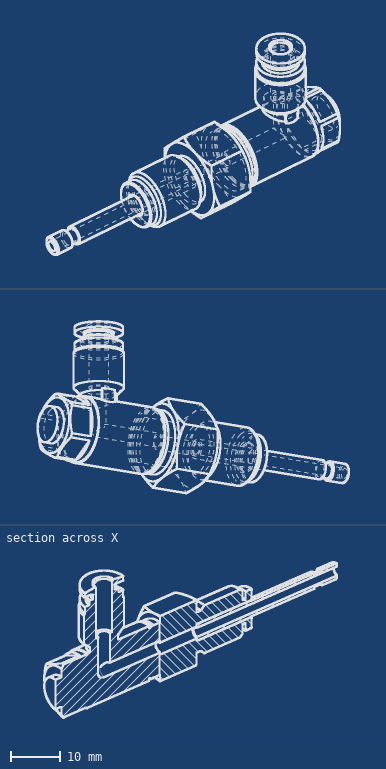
import cadquery as cq
import math


OVERALL_LENGTH = 71.9
HEX_HALF_ANGLE = 30

BACK_END = 12.45
CAP_BACK = 10.85
CAP_FRONT = 5.8
BARREL_BACK = 4.4
BARREL_FRONT = -11.5
RING_BACK = -11.85
RING_FRONT = -12.6
NUT_BACK = -14.25
NUT_FRONT = -23.65
SLEEVE_NECK_FRONT = -24.65
SLEEVE_FRONT = -35.4
COLLAR_BACK = -36.1
COLLAR_FRONT = -37.75
STEM_GROOVE_BACK = -53.7
STEM_GROOVE_FRONT = -55.4
FRONT_END = BACK_END - OVERALL_LENGTH

BARREL_RADIUS = 6.9
SHOULDER_RADIUS = 6.7
SPIGOT_RADIUS = 6.6
BARREL_GROOVE_RADIUS = 6.3
STUB_RADIUS = 3.75
CAP_ACROSS_FLATS = 12.0
CAP_END_RADIUS = 5.75
CAP_BEVEL = 0.5

NUT_CORNER_DIAMETER = 18.5
NUT_ACROSS_FLATS = NUT_CORNER_DIAMETER * math.cos(math.radians(HEX_HALF_ANGLE))
NUT_TURN = 12.4
NUT_BEVEL_ANGLE = 30
SLEEVE_RADIUS = 6.05
SLEEVE_NECK_RADIUS = 5.1
SLEEVE_BEVEL = 0.65
COLLAR_NECK_RADIUS = 2.95
COLLAR_NECK_FLARE = 0.3

COLLAR_RADIUS = 4.95
COLLAR_EDGE = 0.2
TUBE_RADIUS = 2.0
SOCKET_BEVEL = 0.35
PASSAGE_RADIUS = 1.45

STEM_SEAT = NUT_FRONT
STEM_GROOVE_RADIUS = 1.6
STEM_BORE_RADIUS = 1.1
STEM_END_BEVEL = 0.2

PORT_TOP = 22.5
PORT_COLLAR_RIM = 22.15
PORT_COLLAR_BOTTOM = 21.0
PORT_RING_TOP = 19.8
PORT_CAP_TOP = 18.7
PORT_CAP_BOTTOM = 17.05
PORT_BODY_TOP = 16.7
PORT_BODY_BOTTOM = 9.5
PORT_SOCKET_FLOOR = PORT_BODY_BOTTOM
PORT_BODY_RADIUS = 5.2
PORT_RING_RADIUS = 3.8
PORT_RING_BEVEL = 0.2
PORT_COLLAR_NECK_RADIUS = 2.8
PORT_COLLAR_NECK_FLARE = 0.3
PORT_NECK_RADIUS = 3.7
TAB_RADIUS = 4.0
TAB_WIDTH = 3.0
TAB_TOP = 8.55
ELBOW_HEIGHT = 0.5


def turned_about_y(outline):
    """Solid of revolution about Y from (radius, y) points."""
    return cq.Workplane("XY").polyline(outline).close().revolve(360, (0, 0), (0, 1))


def turned_about_z(outline):
    """Solid of revolution about Z from (radius, z) points."""
    return cq.Workplane("XZ").polyline(outline).close().revolve(360, (0, 0), (0, 1))


def rod_along_y(radius, back, front, height=0):
    """Cylinder parallel to Y, running from back towards -Y to front."""
    return cq.Workplane("XZ", origin=(0, back, height)).circle(radius).extrude(back - front)


def rod_along_z(radius, bottom, top):
    return cq.Workplane("XY", origin=(0, 0, bottom)).circle(radius).extrude(top - bottom)


def hex_along_y(across_flats, back, front, turn):
    """Hexagonal prism along Y; turn is the angle in degrees of one corner below +X."""
    corner_diameter = across_flats / math.cos(math.radians(HEX_HALF_ANGLE))
    prism = cq.Workplane("XZ", origin=(0, back, 0)).polygon(6, corner_diameter).extrude(back - front)
    return prism.rotate((0, 0, 0), (0, 1, 0), turn)


def hex_cap():
    """Hexagonal back cap with its corners turned round and its back edge beveled."""
    prism = hex_along_y(CAP_ACROSS_FLATS, CAP_BACK, CAP_FRONT, HEX_HALF_ANGLE)
    envelope = turned_about_y([
        (0, CAP_BACK),
        (CAP_END_RADIUS, CAP_BACK),
        (SHOULDER_RADIUS, CAP_BACK - CAP_BEVEL),
        (SHOULDER_RADIUS, CAP_FRONT),
        (0, CAP_FRONT),
    ])
    return prism.intersect(envelope)


def barrel():
    turned = turned_about_y([
        (0, CAP_FRONT),
        (SHOULDER_RADIUS, CAP_FRONT),
        (SHOULDER_RADIUS, BARREL_BACK),
        (BARREL_RADIUS, BARREL_BACK),
        (BARREL_RADIUS, BARREL_FRONT),
        (BARREL_GROOVE_RADIUS, BARREL_FRONT),
        (BARREL_GROOVE_RADIUS, RING_BACK),
        (SHOULDER_RADIUS, RING_BACK),
        (SHOULDER_RADIUS, RING_FRONT),
        (SPIGOT_RADIUS, RING_FRONT),
        (SPIGOT_RADIUS, NUT_BACK),
        (0, NUT_BACK),
    ])
    stub = rod_along_y(STUB_RADIUS, BACK_END, CAP_BACK)
    return turned.union(hex_cap()).union(stub)


def port():
    """Upright tube port with its release collar, rising from the barrel axis."""
    flare_bottom = PORT_COLLAR_BOTTOM - PORT_COLLAR_NECK_FLARE
    cone_bottom = PORT_BODY_BOTTOM - (PORT_BODY_RADIUS - PORT_NECK_RADIUS)
    return turned_about_z([
        (0, ELBOW_HEIGHT),
        (PORT_NECK_RADIUS, ELBOW_HEIGHT),
        (PORT_NECK_RADIUS, cone_bottom),
        (PORT_BODY_RADIUS, PORT_BODY_BOTTOM),
        (PORT_BODY_RADIUS, PORT_BODY_TOP),
        (COLLAR_RADIUS, PORT_CAP_BOTTOM),
        (COLLAR_RADIUS, PORT_CAP_TOP),
        (PORT_RING_RADIUS, PORT_CAP_TOP),
        (PORT_RING_RADIUS, PORT_RING_TOP - PORT_RING_BEVEL),
        (PORT_RING_RADIUS - PORT_RING_BEVEL, PORT_RING_TOP),
        (PORT_COLLAR_NECK_RADIUS, PORT_RING_TOP),
        (PORT_COLLAR_NECK_RADIUS, flare_bottom),
        (PORT_COLLAR_NECK_RADIUS + PORT_COLLAR_NECK_FLARE, PORT_COLLAR_BOTTOM),
        (COLLAR_RADIUS, PORT_COLLAR_BOTTOM),
        (COLLAR_RADIUS, PORT_COLLAR_RIM),
        (TUBE_RADIUS + SOCKET_BEVEL, PORT_TOP),
        (0, PORT_TOP),
    ])


def port_tabs():
    """Round-faced tabs on the -X and +X sides of the port neck."""
    slab = cq.Workplane("XY").box(2 * TAB_RADIUS, TAB_WIDTH, TAB_TOP, centered=(True, True, False))
    return rod_along_z(TAB_RADIUS, 0, TAB_TOP).intersect(slab)


def port_socket():
    """Beveled tube socket, stepping down to the passage in its floor."""
    return turned_about_z([
        (0, PORT_TOP),
        (TUBE_RADIUS + SOCKET_BEVEL, PORT_TOP),
        (TUBE_RADIUS, PORT_TOP - SOCKET_BEVEL),
        (TUBE_RADIUS, PORT_SOCKET_FLOOR),
        (0, PORT_SOCKET_FLOOR),
    ])


def elbow_passage():
    """Passage down the port, round a ball-shaped corner and out through the barrel front."""
    down = rod_along_z(PASSAGE_RADIUS, ELBOW_HEIGHT, PORT_SOCKET_FLOOR)
    corner = cq.Workplane("XY", origin=(0, 0, ELBOW_HEIGHT)).sphere(PASSAGE_RADIUS)
    forward = rod_along_y(PASSAGE_RADIUS, 0, NUT_BACK, ELBOW_HEIGHT)
    return down.union(corner).union(forward)


def make_housing():
    solid = barrel().union(port()).union(port_tabs())
    return solid.cut(port_socket()).cut(elbow_passage())


def nut_hex():
    """Hexagon with its corners beveled at both ends."""
    face_radius = NUT_ACROSS_FLATS / 2
    corner_radius = NUT_CORNER_DIAMETER / 2
    bevel = (corner_radius - face_radius) * math.tan(math.radians(NUT_BEVEL_ANGLE))
    envelope = turned_about_y([
        (0, NUT_BACK),
        (face_radius, NUT_BACK),
        (corner_radius, NUT_BACK - bevel),
        (corner_radius, NUT_FRONT + bevel),
        (face_radius, NUT_FRONT),
        (0, NUT_FRONT),
    ])
    return hex_along_y(NUT_ACROSS_FLATS, NUT_BACK, NUT_FRONT, NUT_TURN).intersect(envelope)


def nut_sleeve():
    """Round front of the nut with the release collar at its end."""
    cone_front = SLEEVE_NECK_FRONT - (SLEEVE_RADIUS - SLEEVE_NECK_RADIUS)
    return turned_about_y([
        (0, NUT_FRONT),
        (SLEEVE_NECK_RADIUS, NUT_FRONT),
        (SLEEVE_NECK_RADIUS, SLEEVE_NECK_FRONT),
        (SLEEVE_RADIUS, cone_front),
        (SLEEVE_RADIUS, SLEEVE_FRONT + SLEEVE_BEVEL),
        (SLEEVE_RADIUS - SLEEVE_BEVEL, SLEEVE_FRONT),
        (COLLAR_NECK_RADIUS + COLLAR_NECK_FLARE, SLEEVE_FRONT),
        (COLLAR_NECK_RADIUS, SLEEVE_FRONT - COLLAR_NECK_FLARE),
        (COLLAR_NECK_RADIUS, COLLAR_BACK),
        (COLLAR_RADIUS, COLLAR_BACK),
        (COLLAR_RADIUS, COLLAR_FRONT + COLLAR_EDGE),
        (COLLAR_RADIUS - COLLAR_EDGE, COLLAR_FRONT),
        (0, COLLAR_FRONT),
    ])


def nut_bore():
    """Passage from the back of the nut, opening into the beveled socket that holds the stem."""
    return turned_about_y([
        (0, NUT_BACK),
        (PASSAGE_RADIUS, NUT_BACK),
        (PASSAGE_RADIUS, STEM_SEAT),
        (TUBE_RADIUS, STEM_SEAT),
        (TUBE_RADIUS, COLLAR_FRONT + SOCKET_BEVEL),
        (TUBE_RADIUS + SOCKET_BEVEL, COLLAR_FRONT),
        (0, COLLAR_FRONT),
    ])


def make_nut():
    return nut_hex().union(nut_sleeve()).cut(nut_bore())


def make_stem():
    """Hollow plug-in stem with a groove near its front end."""
    return turned_about_y([
        (STEM_BORE_RADIUS, STEM_SEAT),
        (TUBE_RADIUS, STEM_SEAT),
        (TUBE_RADIUS, STEM_GROOVE_BACK),
        (STEM_GROOVE_RADIUS, STEM_GROOVE_BACK),
        (STEM_GROOVE_RADIUS, STEM_GROOVE_FRONT),
        (TUBE_RADIUS, STEM_GROOVE_FRONT - STEM_END_BEVEL),
        (TUBE_RADIUS, FRONT_END + STEM_END_BEVEL),
        (TUBE_RADIUS - STEM_END_BEVEL, FRONT_END),
        (STEM_BORE_RADIUS, FRONT_END),
    ])


housing = make_housing()
nut = make_nut()
stem = make_stem()

result = cq.Compound.makeCompound([housing.val(), nut.val(), stem.val()])